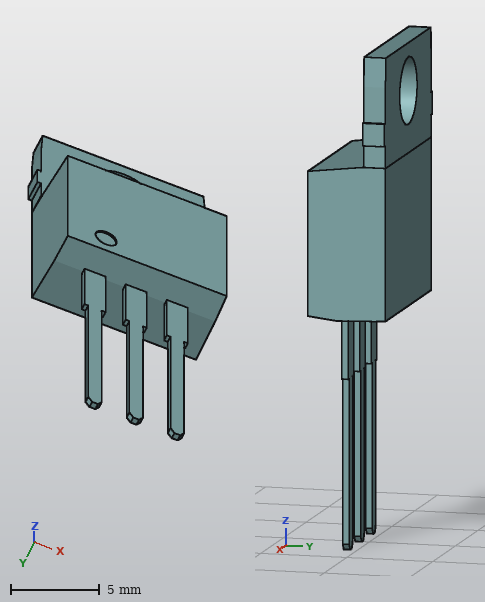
import cadquery as cq


overall_height = 28.66
package_depth = 4.57

housing_top = 22.36
housing_height = 8.88
housing_back_width = 10.14
housing_front_width = 9.82
top_slope_drop = 0.4
bottom_rise_back = 0.12
bottom_rise_front = 0.19
housing_bottom = housing_top - housing_height

tab_thickness = 1.27
tab_width = 10.14
tab_top_width = 9.94
tab_taper_height = 1.68
hole_diameter = 3.84
hole_below_top = 2.74

ear_span = 10.59
ear_height = 1.29
ear_below_top = 3.73

lead_count = 3
lead_pitch = 2.54
lead_thickness = 0.38
lead_plane = 2.86
shoulder_width = 1.3
shoulder_length = 3.65
pin_width = 0.84
tip_width = 0.36
tip_height = 0.36
top_overlap = 0.05
shoulder_bottom = housing_bottom - shoulder_length

mark_diameter = 1.3
mark_depth = 0.1
mark_height = 14.93


def front_plate(points, front, thickness):
    """Plate outlined in X and Z, running back from the depth `front` over `thickness`."""
    return (
        cq.Workplane("XZ", origin=(0, thickness - front, 0))
        .polyline(points)
        .close()
        .extrude(thickness)
    )


def mirrored(right_side):
    """Closed outline from its right half, listed upwards."""
    return right_side + [(-x, z) for x, z in reversed(right_side)]


def make_housing():
    """Block with a sloping top, a ridged underside at the leads, sides tapering to the front, and a mark."""
    profile = [
        (0, housing_bottom + bottom_rise_back),
        (0, housing_top),
        (-tab_thickness, housing_top),
        (-package_depth, housing_top - top_slope_drop),
        (-package_depth, housing_bottom + bottom_rise_front),
        (-lead_plane, housing_bottom),
    ]
    block = cq.Workplane("YZ").polyline(profile).close().extrude(housing_back_width / 2, both=True)
    plan = [
        (-housing_back_width / 2, 0),
        (housing_back_width / 2, 0),
        (housing_front_width / 2, -package_depth),
        (-housing_front_width / 2, -package_depth),
    ]
    tapered_column = cq.Workplane("XY").polyline(plan).close().extrude(overall_height)
    mark = (
        cq.Workplane("XZ", origin=(-lead_pitch, mark_depth - package_depth, mark_height))
        .circle(mark_diameter / 2)
        .extrude(mark_depth)
    )
    return block.intersect(tapered_column).cut(mark)


def make_tab():
    """Tab standing on the housing, with a mounting hole, side ears and sides tapering near the top."""
    ear_top = overall_height - ear_below_top
    ear_bottom = ear_top - ear_height
    right_side = [
        (tab_width / 2, housing_top),
        (tab_width / 2, ear_bottom),
        (ear_span / 2, ear_bottom),
        (ear_span / 2, ear_top),
        (tab_width / 2, ear_top),
        (tab_width / 2, overall_height - tab_taper_height),
        (tab_top_width / 2, overall_height),
    ]
    plate = front_plate(mirrored(right_side), tab_thickness, tab_thickness)
    hole = (
        cq.Workplane("XZ", origin=(0, 0, overall_height - hole_below_top))
        .circle(hole_diameter / 2)
        .extrude(tab_thickness)
    )
    return plate.cut(hole)


def make_lead(x, housing):
    """Flat lead with a wide shoulder and a pointed tip, its top fitted to the housing underside."""
    right_side = [
        (tip_width / 2, 0),
        (pin_width / 2, tip_height),
        (pin_width / 2, shoulder_bottom),
        (shoulder_width / 2, shoulder_bottom),
        (shoulder_width / 2, housing_bottom + top_overlap),
    ]
    blank = front_plate(mirrored(right_side), lead_plane + lead_thickness / 2, lead_thickness)
    return blank.translate((x, 0, 0)).cut(housing)


housing = make_housing()
tab = make_tab()
lead_positions = [(i - (lead_count - 1) / 2) * lead_pitch for i in range(lead_count)]
leads = [make_lead(x, housing) for x in lead_positions]

result = cq.Compound.makeCompound([housing.val(), tab.val(), *[lead.val() for lead in leads]])